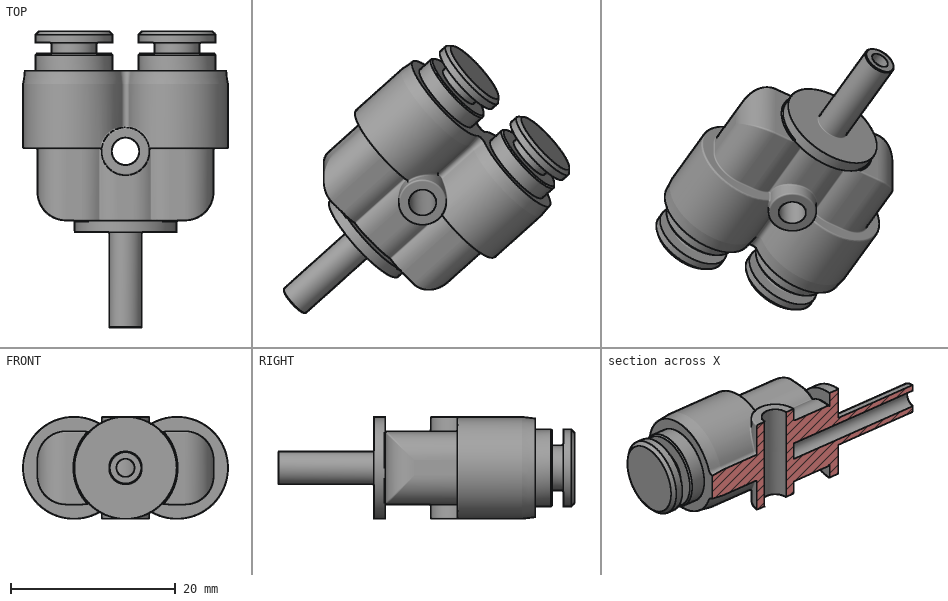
import cadquery as cq
import math


port_offset = 6.25
ring_radius = 4.7
ring_chamfer = 0.45
neck_radius = 2.75
neck_fillet = 0.25
collar_radius = 4.7
collar_edge = 0.2
sleeve_radius = 6.2
sleeve_mouth_radius = 6.0
sleeve_edge = 0.2

ring_end = 1.4
collar_start = 2.72
sleeve_start = 4.8
taper_end = 6.42
sleeve_end = 14.25
body_end = 23.0
flange_end = 24.4
stem_end = 36.0

valley_height = 2.4

body_half_height = 4.45
body_corner_radius = 3.5
body_end_radius = 3.5
body_edge = 0.2
lobe_blend = 0.2
body_root_fillet = 0.15

boss_radius = 2.9
boss_station = 14.6
boss_edge = 0.2
boss_root_fillet = 0.15
mounting_hole_radius = 1.65

flange_radius = 6.2
flange_root_fillet = 0.15
stem_radius = 2.0
stem_edge = 0.1
stem_root_fillet = 0.1
stem_bore_radius = 1.1


def rod(radius, start, end, x=0.0):
    """Cylinder along Y between two stations."""
    plane = cq.Plane(origin=(x, -start, 0), xDir=(1, 0, 0), normal=(0, -1, 0))
    return cq.Workplane(plane).circle(radius).extrude(end - start)


def cross_rod(radius):
    """Cylinder along Z on the cross boss axis, as tall as the sleeves."""
    return (
        cq.Workplane("XY", origin=(0, -boss_station, 0))
        .circle(radius)
        .extrude(sleeve_radius, both=True)
    )


def root_fillet(radius, size, station, x=0.0):
    """Ring with a concave flare that blends a rod into the face it grows from at the station."""
    sag = size * (1 - math.sqrt(0.5))
    return (
        cq.Workplane("XY", origin=(x, -station, 0))
        .moveTo(0, 0)
        .lineTo(radius + size, 0)
        .threePointArc((radius + sag, -sag), (radius, -size))
        .lineTo(0, -size)
        .close()
        .revolve(360, (0, 0, 0), (0, 1, 0))
    )


def port(x):
    """Release ring, neck, collar and sleeve around one port axis."""
    ring = rod(ring_radius, 0, ring_end, x).faces(">Y").chamfer(ring_chamfer)
    neck_flare = root_fillet(neck_radius, neck_fillet, ring_end, x)
    neck = rod(neck_radius, 0, sleeve_start, x).union(neck_flare)
    collar = rod(collar_radius, collar_start, sleeve_end, x).faces(">Y").chamfer(collar_edge)
    sleeve = rod(sleeve_radius, taper_end, sleeve_end, x).faces("<Y").edges().fillet(sleeve_edge)
    mouth = (
        cq.Workplane("XZ", origin=(x, -sleeve_start, 0))
        .circle(sleeve_mouth_radius)
        .workplane(offset=taper_end - sleeve_start)
        .circle(sleeve_radius)
        .loft()
    )
    return ring.union(neck).union(collar).union(sleeve).union(mouth)


def valley_section(radius, station):
    """Section of the web between two sleeves of the given radius, hollowed above and below."""
    axis_distance = math.hypot(port_offset, valley_height)
    valley_radius = axis_distance - radius
    tangent_x = port_offset * valley_radius / axis_distance
    tangent_z = valley_height * radius / axis_distance
    bottom_z = valley_height - valley_radius
    return (
        cq.Workplane("XZ", origin=(0, -station, 0))
        .moveTo(-tangent_x, -tangent_z)
        .threePointArc((0, -bottom_z), (tangent_x, -tangent_z))
        .lineTo(tangent_x, tangent_z)
        .threePointArc((0, bottom_z), (-tangent_x, tangent_z))
        .close()
        .wire()
        .val()
    )


def valley_web():
    """Web that joins the two sleeves along their tapered and straight stretches."""
    mouth_section = valley_section(sleeve_mouth_radius, sleeve_start)
    full_section = valley_section(sleeve_radius, taper_end)
    end_section = valley_section(sleeve_radius, sleeve_end)
    tapered = cq.Workplane(cq.Solid.makeLoft([mouth_section, full_section], True))
    straight = cq.Workplane(cq.Solid.makeLoft([full_section, end_section], True))
    return tapered.union(straight)


def lobe(x):
    """Rounded square bar along Y."""
    side = 2 * body_half_height
    length = body_end - sleeve_end
    return (
        cq.Workplane("XZ", origin=(x, -sleeve_end, 0))
        .rect(side, side)
        .extrude(length)
        .edges("|Y")
        .fillet(body_corner_radius)
    )


def lobed_body():
    """Three lobes side by side, blended together, with round outer corners at the stem end."""
    lobes = lobe(0).union(lobe(-port_offset)).union(lobe(port_offset))
    valley_x = port_offset / 2
    flat_half = body_half_height - body_corner_radius
    dip_z = flat_half + math.sqrt(body_corner_radius**2 - (valley_x - flat_half) ** 2)
    for x in (-valley_x, valley_x):
        for z in (-dip_z, dip_z):
            middle = (x, -(sleeve_end + body_end) / 2, z)
            lobes = lobes.edges(cq.selectors.NearestToPointSelector(middle)).fillet(lobe_blend)

    half_width = port_offset + body_half_height
    rounded_block = (
        cq.Workplane("XY")
        .rect(2 * half_width, 2 * body_end)
        .extrude(body_half_height, both=True)
        .edges("|Z and <Y")
        .fillet(body_end_radius)
    )
    return lobes.intersect(rounded_block).faces("<Y").edges().fillet(body_edge)


def boss():
    """Cross boss with rounded rims."""
    return cross_rod(boss_radius).faces("<Z or >Z").edges().fillet(boss_edge)


def stem():
    """Flange and plug-in tube, each flared where it leaves the face behind it."""
    flange = rod(flange_radius, body_end, flange_end)
    tube = rod(stem_radius, body_end, stem_end).faces("<Y").chamfer(stem_edge)
    tube_root = root_fillet(stem_radius, stem_root_fillet, flange_end)
    flat_height = 2 * (body_half_height - body_edge)
    body_end_slab = cq.Workplane("XY").box(4 * flange_radius, 4 * body_end, flat_height)
    flange_root = root_fillet(flange_radius, flange_root_fillet, body_end).intersect(body_end_slab)
    return flange.union(flange_root).union(tube).union(tube_root)


def stem_bore():
    """Bore from the stem tip to the wall of the cross boss."""
    return rod(stem_bore_radius, boss_station, stem_end).cut(cross_rod(boss_radius))


def body_root(body):
    """Body with a concave fillet around the end that meets the sleeves."""
    slab = (
        cq.Workplane("XY", origin=(0, -sleeve_end / 2, 0))
        .box(4 * port_offset, sleeve_end, 2 * sleeve_radius)
    )
    reach_x = port_offset + sleeve_radius - sleeve_edge
    reach_z = sleeve_radius - sleeve_edge
    root_edges = cq.selectors.BoxSelector(
        (-reach_x, -sleeve_end - sleeve_edge, -reach_z),
        (reach_x, -sleeve_end + sleeve_edge, reach_z),
        boundingbox=True,
    )
    return body.union(slab).edges(root_edges).fillet(body_root_fillet).cut(slab)


def boss_root_edges(part):
    """Edges where the side of the cross boss meets the lobes and the sleeves."""
    tolerance = 0.001
    root = []
    for edge in part.edges().vals():
        ends = [edge.positionAt(0), edge.positionAt(1)]
        on_boss = all(
            abs(math.hypot(point.x, point.y + boss_station) - boss_radius) < tolerance
            for point in ends
        )
        middle = edge.positionAt(0.5)
        below_rim = abs(middle.z) < sleeve_radius - 2 * boss_edge
        is_seam = edge.geomType() == "LINE" and abs(middle.y + boss_station) < tolerance
        if on_boss and below_rim and not is_seam:
            root.append(edge)
    return part.newObject(root)


result = port(-port_offset).union(port(port_offset)).union(valley_web())
result = result.union(body_root(lobed_body())).union(boss())
result = boss_root_edges(result).fillet(boss_root_fillet)
result = result.union(stem())
result = result.cut(cross_rod(mounting_hole_radius))
result = result.cut(stem_bore())